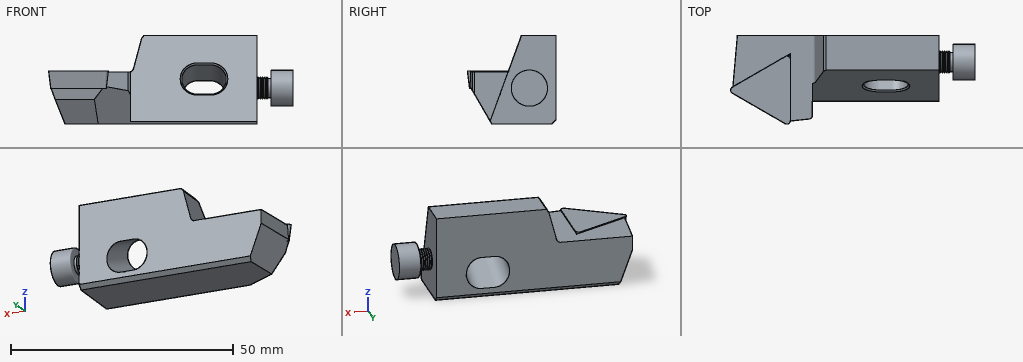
import cadquery as cq
import math



overall_length = 55.0
overall_width = 20.0
overall_height = 20.0
spare = 10.0

insert_inradius = 9.525 / 2
insert_corner_radius = 0.8
insert_thickness = 3.97
insert_relief = 7.0
insert_top = 12.0
insert_bottom = insert_top - insert_thickness
insert_right = 3 * insert_inradius - insert_corner_radius
insert_x = insert_right - insert_inradius
corner_reach = 2 * (insert_inradius - insert_corner_radius)
insert_y = -overall_width + insert_corner_radius + corner_reach * math.sin(math.radians(60))

block_end = 46.9
shelf_height = 11.75
wall_foot = 18.9
wall_lean = 15.0
wall_fillet = 1.0
wall_chamfer_run = 0.55
wall_chamfer_drop = 0.7
back_chamfer = 1.0

mount_start = 18.42
mount_top_depth = 7.83
mount_angle = 20.0

end_back_x = 1.53
end_skew = 5.0
end_relief = 20.0
end_relief_height = 8.44
toe_depth = 19.3
toe_corner = 0.5
toe_skew = 6.0
under_depth = 14.48
under_relief = 30.0
flank_inset = 0.12
flank_height = insert_bottom - 5.6
flank_relief = 30.0
flank_heading = 240.0

slot_x = 34.98
slot_z = 10.17
slot_width = 7.0
slot_length = 10.0
slot_chamfer = 0.35

screw_y = -6.03
screw_z = 8.12
head_diameter = 8.15
head_length = 5.0
head_edge_radius = 0.3
head_start = overall_length - head_length
thread_diameter = 4.9
thread_pitch = 0.5
thread_depth = 0.27
neck_length = 0.3


def slope(angle):
    return math.tan(math.radians(angle))


def triangle(corner_radius=0):
    """Triangle around the insert centre, one point toward -X, narrowing downward by the relief angle."""
    reach = 2 * insert_inradius
    points = [(reach * math.cos(math.radians(a)), reach * math.sin(math.radians(a))) for a in (60, 180, 300)]
    outline = cq.Sketch().polygon([*points, points[0]])
    if corner_radius:
        outline = outline.vertices().fillet(corner_radius)
    top = cq.Workplane("XY", origin=(insert_x, insert_y, insert_top))
    return top.placeSketch(outline).extrude(-insert_thickness, taper=insert_relief)


def make_insert():
    return triangle(insert_corner_radius)


def side_profile():
    """Low shelf for the insert, then a leaning wall up to the tall block."""
    wall_top_x = wall_foot + (overall_height - wall_chamfer_drop - shelf_height) * slope(wall_lean)
    body = (
        cq.Workplane("XZ")
        .moveTo(-spare, 0)
        .lineTo(block_end, 0)
        .lineTo(block_end, overall_height)
        .lineTo(wall_top_x + wall_chamfer_run, overall_height)
        .lineTo(wall_top_x, overall_height - wall_chamfer_drop)
        .lineTo(wall_foot, shelf_height)
        .lineTo(-spare, shelf_height)
        .close()
        .extrude(overall_width)
    )
    foot = cq.selectors.NearestToPointSelector((wall_foot, -overall_width / 2, shelf_height))
    return body.edges(foot).fillet(wall_fillet)


def plan_outline():
    """Skewed left end, and a skewed toe with a clipped corner beside the insert."""
    corner_x = mount_start - toe_corner
    corner_y = -toe_depth + (corner_x - insert_right) * slope(toe_skew)
    toe_start_y = -toe_depth - insert_inradius * slope(toe_skew)
    return (
        cq.Workplane("XY")
        .moveTo(end_back_x, 0)
        .lineTo(end_back_x - overall_width * slope(end_skew), -overall_width)
        .lineTo(insert_x, toe_start_y)
        .lineTo(corner_x, corner_y)
        .lineTo(mount_start, corner_y + toe_corner)
        .lineTo(block_end, corner_y + toe_corner)
        .lineTo(block_end, 0)
        .close()
        .extrude(overall_height)
    )


def outside_plane(point, heading, relief):
    """Material beyond a plane through the point, facing the plan heading and leaning back underneath."""
    level = math.cos(math.radians(relief))
    normal = (
        level * math.cos(math.radians(heading)),
        level * math.sin(math.radians(heading)),
        -math.sin(math.radians(relief)),
    )
    size = 2 * overall_length
    return cq.Workplane(cq.Plane(origin=point, normal=normal)).rect(size, size).extrude(size)


def beside_mounting_face():
    """Wedge in front of the sloped face, beside the block only."""
    bottom_y = -mount_top_depth - overall_height * slope(mount_angle)
    return (
        cq.Workplane("YZ", origin=(mount_start, 0, 0))
        .moveTo(-mount_top_depth, overall_height)
        .lineTo(bottom_y, 0)
        .lineTo(-overall_width, 0)
        .lineTo(-overall_width, overall_height)
        .close()
        .extrude(block_end - mount_start)
    )


def mounting_slot():
    """Rounded slot square to the sloped face, with a chamfered mouth."""
    slot_y = -mount_top_depth - (overall_height - slot_z) * slope(mount_angle)
    outward = (0, -math.cos(math.radians(mount_angle)), math.sin(math.radians(mount_angle)))
    face = cq.Workplane(cq.Plane(origin=(slot_x, slot_y, slot_z), xDir=(1, 0, 0), normal=outward))
    slot = face.slot2D(slot_length, slot_width).extrude(-overall_width)
    mouth = face.slot2D(slot_length + 2 * slot_chamfer, slot_width + 2 * slot_chamfer)
    return slot.union(mouth.extrude(-slot_chamfer, taper=45))


def adjusting_screw():
    """Grooved thread, plain neck and round head, turned about an axis along X from the block end."""
    crest = thread_diameter / 2
    root = crest - thread_depth
    head = head_diameter / 2
    neck_start = head_start - neck_length
    thread_count = math.floor((neck_start - block_end) / thread_pitch)
    outline = cq.Workplane("XZ").moveTo(block_end, 0).lineTo(block_end, root)
    for turn in range(thread_count):
        start = block_end + turn * thread_pitch
        outline = outline.lineTo(start + thread_pitch / 2, crest).lineTo(start + thread_pitch, root)
    profile = (
        outline.lineTo(head_start, root)
        .lineTo(head_start, head - head_edge_radius)
        .radiusArc((head_start + head_edge_radius, head), head_edge_radius)
        .lineTo(overall_length, head)
        .lineTo(overall_length, 0)
        .close()
    )
    return profile.revolve(360, (0, 0, 0), (1, 0, 0)).translate((0, screw_y, screw_z))


def make_holder():
    """Holder with its seat and slot; the adjusting screw is one piece with the block end."""
    holder = side_profile().intersect(plan_outline()).cut(beside_mounting_face())

    holder = holder.cut(outside_plane((end_back_x, 0, end_relief_height), 180 - end_skew, end_relief))
    holder = holder.cut(outside_plane((0, -under_depth, 0), 270, under_relief))
    flank_reach = insert_inradius - insert_thickness * slope(insert_relief) - flank_inset
    lower_reach = flank_reach - flank_height * slope(insert_relief)
    for reach, height, relief in (
        (flank_reach, insert_bottom, insert_relief),
        (lower_reach, insert_bottom - flank_height, flank_relief),
    ):
        flank_x = insert_x + reach * math.cos(math.radians(flank_heading))
        flank_y = insert_y + reach * math.sin(math.radians(flank_heading))
        holder = holder.cut(outside_plane((flank_x, flank_y, height), flank_heading, relief))

    holder = holder.cut(outside_plane((0, 0, back_chamfer), 90, 45))

    holder = holder.cut(triangle())
    return holder.cut(mounting_slot()).union(adjusting_screw())


insert = make_insert()
holder = make_holder()
result = cq.Compound.makeCompound([holder.val(), insert.val()])